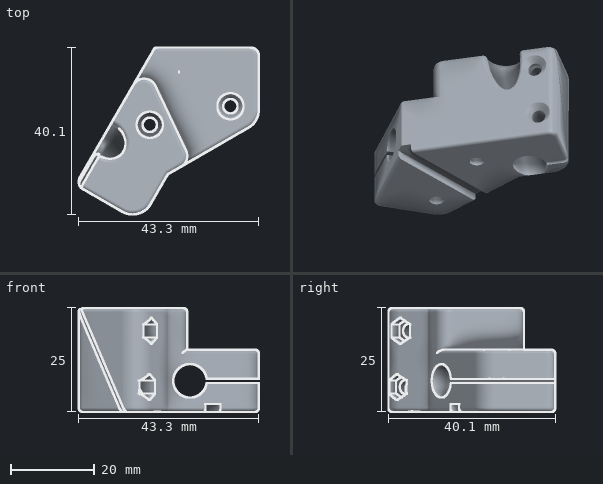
import cadquery as cq
import math


BASE_HEIGHT = 15.0
ARM_HEIGHT = 25.0

RIGHT_FACE_X = 16.55
BACK_CORNER_X = -8.42
FRONT_FACE_Y = -27.36
ARM_LENGTH = 38.07
ARM_WIDTH = 17.9
ARM_LEAN = math.radians(30)
STEP_ANGLE = math.radians(-64.6)
STEP_FACE_X = -12.67

EDGE_RADIUS = 1.0
BACK_LEFT_RADIUS = 0.8
BACK_RIGHT_RADIUS = 2.0
FRONT_RIGHT_RADIUS = 5.0
ELBOW_RADIUS = 1.0
ARM_TIP_RIGHT_RADIUS = 5.0
ARM_TIP_LEFT_RADIUS = 2.0
STEP_RADIUS = 3.0

ROD_DIAMETER = 8.0
SLIT_WIDTH = 1.0
LEAN_ACROSS = 0.492
LEAN_ALONG = 0.15
LEANING_BORE_INSET = 0.85
LEANING_BORE_FROM_BACK = 24.9

SCREW_DIAMETER = 3.4
HEAD_DIAMETER = 6.3
HEAD_CONE_DEPTH = (HEAD_DIAMETER - SCREW_DIAMETER) / 2
BASE_SCREW_X = 9.7
BASE_SCREW_Y = -14.1
ARM_SCREW_X = -9.65
ARM_SCREW_Y = -18.55
UPPER_CROSS_SCREW = (5.4, 19.5)
LOWER_CROSS_SCREW = (4.48, 6.0)
NUT_SIDES = 6
NUT_CORNERS = 6.3
NUT_POCKET_DEPTH = 4.35

GROOVE_WIDTH = 4.15
GROOVE_DEPTH = 2.0
GROOVE_OFFSET = -7.3

OVERSHOOT = 60.0

LEAN_SIN = math.sin(ARM_LEAN)
LEAN_COS = math.cos(ARM_LEAN)
ALONG = cq.Vector(LEAN_SIN, LEAN_COS, 0)
ACROSS = cq.Vector(LEAN_COS, -LEAN_SIN, 0)
FRONT = cq.Vector(LEAN_COS, LEAN_SIN, 0)
UP = cq.Vector(0, 0, 1)
DOWN = UP * -1
TO_BACK = cq.Vector(0, 1, 0)
BACK_CORNER = cq.Vector(BACK_CORNER_X, 0, 0)
BACK_RIGHT_CORNER = cq.Vector(RIGHT_FACE_X, 0, 0)


def arm_point(from_back, inset, height=0.0):
    """Point at a distance down the arm's left face, inset across the arm."""
    return BACK_CORNER - ALONG * from_back + ACROSS * inset + UP * height


def meet(point_a, direction_a, point_b, direction_b):
    """Crossing of two lines in plan."""
    gap = point_b - point_a
    turn = direction_a.cross(direction_b).z
    return point_a + direction_a * (gap.cross(direction_b).z / turn)


def prism(corners, height):
    """Upright prism with each plan corner rounded by its own radius."""
    outline = [(point.x, point.y) for point, radius in corners]
    body = cq.Workplane("XY").polyline(outline).close().extrude(height)
    for point, radius in corners:
        nearest = cq.selectors.NearestToPointSelector((point.x, point.y, height / 2))
        body = body.edges("|Z").edges(nearest).fillet(radius)
    return body


FRONT_POINT = cq.Vector(0, FRONT_FACE_Y, 0)
STEP_POINT = cq.Vector(STEP_FACE_X, 0, 0)
STEP = cq.Vector(math.cos(STEP_ANGLE), math.sin(STEP_ANGLE), 0)
ARM_OUTLINE = [
    (arm_point(ARM_LENGTH, 0), ARM_TIP_LEFT_RADIUS),
    (arm_point(ARM_LENGTH, ARM_WIDTH), ARM_TIP_RIGHT_RADIUS),
    (meet(arm_point(0, ARM_WIDTH), ALONG, FRONT_POINT, FRONT), ELBOW_RADIUS),
]
BASE_OUTLINE = ARM_OUTLINE + [
    (meet(FRONT_POINT, FRONT, BACK_RIGHT_CORNER, TO_BACK), FRONT_RIGHT_RADIUS),
    (BACK_RIGHT_CORNER, BACK_RIGHT_RADIUS),
    (BACK_CORNER, BACK_LEFT_RADIUS),
]
TALL_OUTLINE = ARM_OUTLINE + [
    (meet(FRONT_POINT, FRONT, STEP_POINT, STEP), STEP_RADIUS),
    (meet(BACK_CORNER, ALONG, STEP_POINT, STEP), STEP_RADIUS),
]

BORE_TOP = arm_point(LEANING_BORE_FROM_BACK, LEANING_BORE_INSET, ARM_HEIGHT)
BORE_AXIS = (ACROSS * LEAN_ACROSS - ALONG * LEAN_ALONG + DOWN).normalized()


def leaning_bore():
    """Rod bore through the arm, from the upper left to the underside."""
    start = BORE_TOP - BORE_AXIS * OVERSHOOT
    return cq.Workplane(cq.Solid.makeCylinder(ROD_DIAMETER / 2, 2 * OVERSHOOT, start, BORE_AXIS))


def body_with_leaning_bore():
    """Base and tall arm with rounded edges, the bore's mouth included."""
    base = prism(BASE_OUTLINE, BASE_HEIGHT).faces("<Z or >Z").edges().fillet(EDGE_RADIUS)
    tall = prism(TALL_OUTLINE, ARM_HEIGHT).faces("<Z").edges().fillet(EDGE_RADIUS)
    body = base.union(tall).cut(leaning_bore())
    left_face = body.faces(cq.selectors.DirectionMinMaxSelector(ACROSS, False))
    mouth_side = left_face.edges("%ELLIPSE")
    top_edges = body.faces(">Z").edges()
    return top_edges.add(mouth_side).fillet(EDGE_RADIUS)


def screw_cut(seat, direction):
    """Clearance hole with a 90-degree head cone at the seat and open space above it."""
    shank = cq.Solid.makeCylinder(SCREW_DIAMETER / 2, OVERSHOOT, seat, direction)
    cone = cq.Solid.makeCone(HEAD_DIAMETER / 2, SCREW_DIAMETER / 2, HEAD_CONE_DEPTH, seat, direction)
    head = cq.Solid.makeCylinder(HEAD_DIAMETER / 2, OVERSHOOT, seat, direction * -1)
    return cq.Workplane(shank).union(cq.Workplane(cone)).union(cq.Workplane(head))


def cross_screw_cut(from_tip, height):
    """Screw across the arm with its hexagonal nut pocket in the right face."""
    from_back = ARM_LENGTH - from_tip
    screw = screw_cut(arm_point(from_back, 0, height), ACROSS)
    floor = arm_point(from_back, ARM_WIDTH - NUT_POCKET_DEPTH, height)
    nut = cq.Workplane(cq.Plane(floor, UP, ACROSS)).polygon(NUT_SIDES, NUT_CORNERS).extrude(OVERSHOOT)
    return screw.union(nut)


def leaning_slit():
    """Slit from the leaning bore's axis to the arm tip."""
    plane = cq.Plane(BORE_TOP, ALONG * -1, ALONG.cross(BORE_AXIS))
    return (
        cq.Workplane(plane)
        .rect(OVERSHOOT, 2 * OVERSHOOT)
        .extrude(SLIT_WIDTH / 2, both=True)
        .translate(ALONG * (-OVERSHOOT / 2))
    )


def horizontal_rod_cut():
    """Bore along Y with its clamping slit to the right face."""
    center_height = BASE_HEIGHT / 2
    bore = cq.Workplane("XZ").center(0, center_height).circle(ROD_DIAMETER / 2).extrude(OVERSHOOT, both=True)
    slit = (
        cq.Workplane("XZ")
        .center(OVERSHOOT / 2, center_height)
        .rect(OVERSHOOT, SLIT_WIDTH)
        .extrude(OVERSHOOT, both=True)
    )
    return bore.union(slit)


def tie_groove():
    """Groove across the underside, square to the front face."""
    plane = cq.Plane(FRONT * GROOVE_OFFSET, FRONT, UP)
    return cq.Workplane(plane).rect(GROOVE_WIDTH, 2 * OVERSHOOT).extrude(GROOVE_DEPTH)


def screw_cuts():
    """The two upright screws, seated at the base top, and the two cross screws."""
    base_screw = screw_cut(cq.Vector(BASE_SCREW_X, BASE_SCREW_Y, BASE_HEIGHT), DOWN)
    arm_screw = screw_cut(cq.Vector(ARM_SCREW_X, ARM_SCREW_Y, BASE_HEIGHT), DOWN)
    return [base_screw, arm_screw, cross_screw_cut(*UPPER_CROSS_SCREW), cross_screw_cut(*LOWER_CROSS_SCREW)]


result = body_with_leaning_bore()
for cutter in [leaning_slit(), horizontal_rod_cut(), tie_groove()] + screw_cuts():
    result = result.cut(cutter)